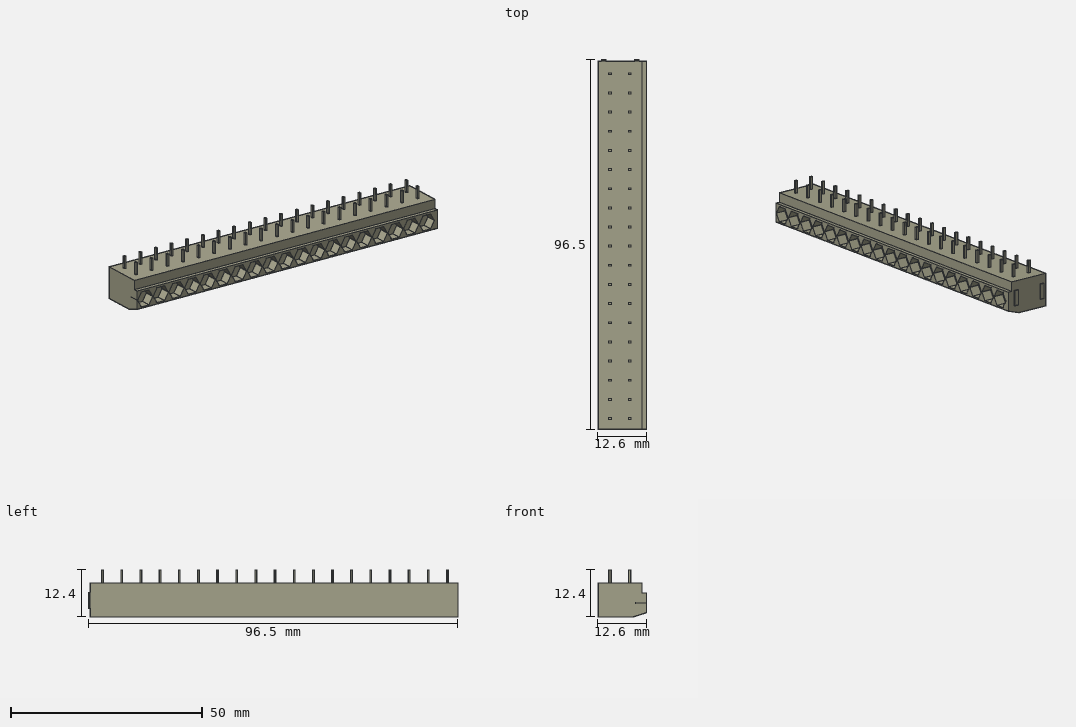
import cadquery as cq

total_width = 12.6
total_length = 96.5
total_height = 12.4

body_height = 9.0
upper_width = 11.5
ledge_height = 6.4
chamfer_start = 9.1
chamfer_height = 1.2

rib_projection = 0.4
rib_width = 1.2
rib_bottom = 2.3
rib_top = 6.5
rib_centres = [1.4, 10.1]
body_length = total_length - rib_projection

contact_count = 19
first_pin = 2.8
last_pin = 92.8
contact_pitch = (last_pin - first_pin) / (contact_count - 1)

pin_rows = [3.1, 8.2]
pin_width = 0.7
pin_thickness = 0.5

entry_sides = 6
entry_across_corners = 4.8
entry_depth = 2.9
entry_level = 3.7
end_wall = 0.2
first_entry = end_wall + entry_across_corners / 2


def contact_positions(first):
    return [first + i * contact_pitch for i in range(contact_count)]


def make_housing():
    outline = [
        (0, 0),
        (chamfer_start, 0),
        (total_width, chamfer_height),
        (total_width, ledge_height),
        (upper_width, ledge_height),
        (upper_width, body_height),
        (0, body_height),
    ]
    return cq.Workplane("XZ").polyline(outline).close().extrude(-body_length)


def make_ribs():
    rib_level = (rib_bottom + rib_top) / 2
    return (
        cq.Workplane("XZ", origin=(0, body_length, 0))
        .pushPoints([(x, rib_level) for x in rib_centres])
        .rect(rib_width, rib_top - rib_bottom)
        .extrude(-rib_projection)
    )


def make_pins():
    return (
        cq.Workplane("XY", origin=(0, 0, body_height))
        .pushPoints([(x, y) for x in pin_rows for y in contact_positions(first_pin)])
        .rect(pin_width, pin_thickness)
        .extrude(total_height - body_height)
    )


def make_wire_entries():
    return (
        cq.Workplane("YZ", origin=(total_width, 0, 0))
        .pushPoints([(y, entry_level) for y in contact_positions(first_entry)])
        .polygon(entry_sides, entry_across_corners)
        .extrude(-entry_depth)
    )


housing = make_housing().cut(make_wire_entries())
result = housing.union(make_ribs()).union(make_pins())